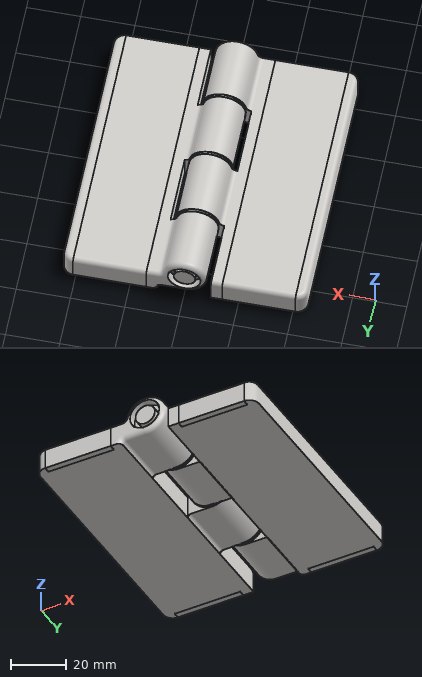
import cadquery as cq
import math

hinge_width = 90.0
hinge_length = 100.0
leaf_thickness = 9.5
half_width = hinge_width / 2
half_length = hinge_length / 2

corner_radius = 4.0
edge_fillet = 2.0

barrel_radius = 8.0
axis_height = leaf_thickness
knuckle_count = 4
washer_thickness = 1.0
washer_count = knuckle_count - 1
knuckle_length = (hinge_length - washer_count * washer_thickness) / knuckle_count
knuckle_pitch = knuckle_length + washer_thickness

neck_radius = 2.0
neck_bottom = axis_height - barrel_radius
neck_center_distance = barrel_radius + neck_radius
inner_edge = math.sqrt(neck_center_distance**2 - neck_radius**2)
neck_tangent_x = inner_edge * barrel_radius / neck_center_distance
neck_tangent_z = axis_height + neck_radius * barrel_radius / neck_center_distance

pin_radius = 4.0
washer_radius = 7.75
recess_radius = barrel_radius - edge_fillet
recess_depth = 3.5
pin_inset = 0.5

cover_outer = half_width - corner_radius
cover_width = 27.0
cover_inner = cover_outer - cover_width
cover_wall = 2.5

tolerance = 1e-3


def box_between(low, high):
    size = [b - a for a, b in zip(low, high)]
    return cq.Workplane("XY").box(*size, centered=False).translate(low)


def cylinder_along_y(radius, start, end):
    """Cylinder on the barrel axis from Y = start to Y = end."""
    base = cq.Workplane("XZ", origin=(0, start, axis_height))
    return base.circle(radius).extrude(start - end)


def knuckle_start(index):
    return -half_length + index * knuckle_pitch


def make_slab():
    """Left leaf plate with its two outer corners rounded."""
    slab = box_between((-half_width, -half_length, 0), (-inner_edge, half_length, leaf_thickness))
    return slab.edges("|Z and <X").fillet(corner_radius)


def make_knuckle(index):
    """Barrel length joined to the left leaf by a neck, round above and flat below."""
    half_sweep = math.atan2(inner_edge, neck_radius) / 2
    neck_mid = (
        -inner_edge + neck_radius * math.sin(half_sweep),
        axis_height + neck_radius * (1 - math.cos(half_sweep)),
    )
    lower_arc_center = -inner_edge + neck_bottom
    lower_mid_offset = neck_bottom * math.sqrt(0.5)
    lower_mid = (lower_arc_center - lower_mid_offset, lower_mid_offset)
    overlap_x = -cover_inner
    profile = (
        cq.Workplane("XZ", origin=(0, knuckle_start(index), 0))
        .moveTo(overlap_x, 0)
        .lineTo(-inner_edge, 0)
        .threePointArc(lower_mid, (lower_arc_center, neck_bottom))
        .lineTo(0, neck_bottom)
        .threePointArc((barrel_radius, axis_height), (-neck_tangent_x, neck_tangent_z))
        .threePointArc(neck_mid, (-inner_edge, axis_height))
        .lineTo(overlap_x, axis_height)
        .close()
    )
    return profile.extrude(-knuckle_length)


def is_rounded(edge):
    """Outer rim edges: the end-face outlines and the outer top edges, but nothing on the underside."""
    box = edge.BoundingBox()
    on_end = box.ylen < tolerance and abs(abs(box.center.y) - half_length) < tolerance
    on_top = box.zlen < tolerance and abs(box.zmax - leaf_thickness) < tolerance
    outer_top = on_top and box.xmax < -cover_outer + tolerance
    vertical = box.xlen < tolerance and box.ylen < tolerance
    on_underside = box.zmax < tolerance
    return (on_end or outer_top) and not vertical and not on_underside


def make_left_plate():
    """Left leaf and cover in one piece, with the knuckles rounded and bored."""
    plate = make_slab()
    for index in range(0, knuckle_count, 2):
        plate = plate.union(make_knuckle(index))
    plate = plate.clean()
    rim = [edge for edge in plate.edges().vals() if is_rounded(edge)]
    plate = plate.newObject(rim).fillet(edge_fillet)
    bore = cylinder_along_y(pin_radius, -half_length, half_length)
    recess = cylinder_along_y(recess_radius, -half_length, -half_length + recess_depth)
    return plate.cut(bore).cut(recess)


def make_cover_zone():
    """Space the cover fills: the middle of the leaf, hollow below for the leaf's web."""
    zone = box_between(
        (-cover_outer, -half_length, 0),
        (-cover_inner, half_length, leaf_thickness),
    )
    web = box_between(
        (-cover_outer, -half_length + cover_wall, 0),
        (-cover_inner, half_length - cover_wall, leaf_thickness - cover_wall),
    )
    return zone.cut(web)


def make_leaf():
    return make_left_plate().cut(make_cover_zone())


def make_cover():
    return make_left_plate().intersect(make_cover_zone())


def turned(body):
    """Copy turned half a turn about Z, from the left side to the right side."""
    return body.rotate((0, 0, 0), (0, 0, 1), 180)


def make_washer(index):
    """Washer in the gap that follows the knuckle of this index."""
    start = knuckle_start(index) + knuckle_length
    end = start + washer_thickness
    return cylinder_along_y(washer_radius, start, end).cut(cylinder_along_y(pin_radius, start, end))


leaf = make_leaf()
cover = make_cover()
leaves = [leaf, turned(leaf)]
covers = [cover, turned(cover)]
pin = cylinder_along_y(pin_radius, -half_length + pin_inset, half_length - pin_inset)
washers = [make_washer(index) for index in range(washer_count)]

bodies = [*leaves, *covers, pin, *washers]
result = cq.Compound.makeCompound([body.solids().val() for body in bodies])